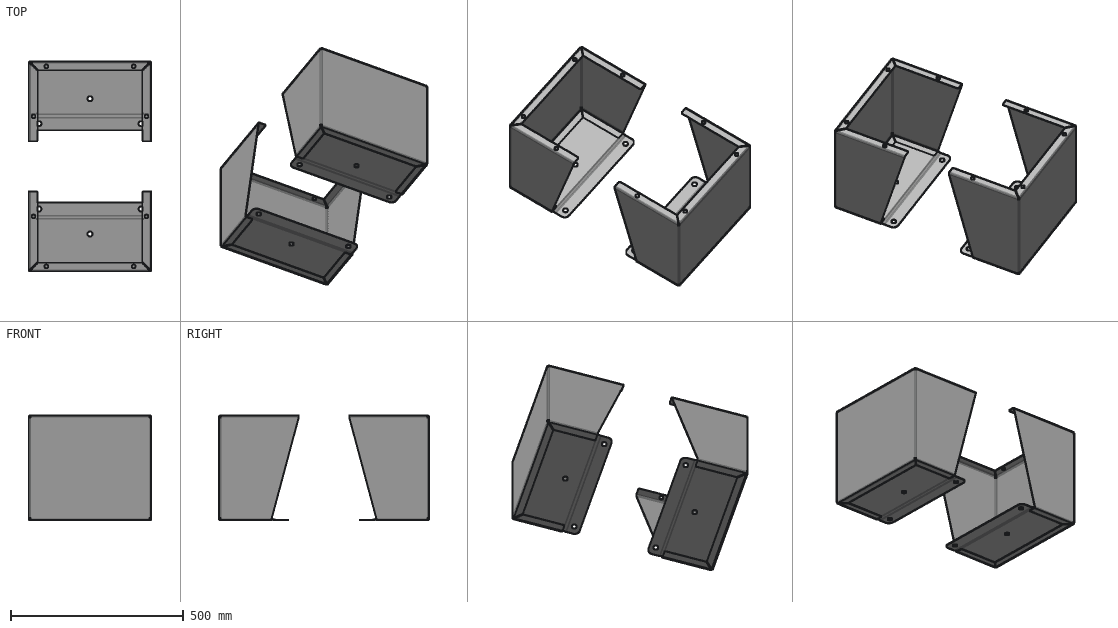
import cadquery as cq
import math

WIDTH = 355.5
TOTAL_DEPTH = 609.5
HEIGHT = 305.0

SHEET = 2.5
BEND_RADIUS = 2.25
OUTER_RADIUS = SHEET + BEND_RADIUS

FLANGE_WIDTH = 25.5
BASE_DEPTH = 153.0
SLANT_ANGLE = 15.0
SLANT_HEIGHT = HEIGHT - 2 * OUTER_RADIUS
TOP_DEPTH = BASE_DEPTH + SLANT_HEIGHT * math.tan(math.radians(SLANT_ANGLE))
FLANGE_TIP_CHAMFER = 2.5
MITRE_GAP = 2.3
MITRE_ANGLE = 45.0
RELIEF_WIDTH = OUTER_RADIUS
RELIEF_HEIGHT = 7.0

FLANGE_HOLE_DIAMETER = 11.0
FRONT_HOLE_OFFSET = 127.0
FRONT_HOLE_INSET = 14.5
SIDE_HOLE_INSET = 14.0
SIDE_HOLE_DEPTH = 160.0

PLATE_WIDTH = WIDTH - 2 * OUTER_RADIUS
PLATE_CORNER_RADIUS = 9.0
STEP_ANGLE = 15.0
STEP_LENGTH = SHEET / math.tan(math.radians(STEP_ANGLE))
PLATE_DEPTH = 200.5
TAB_CORNER_RADIUS = 15.0
PLATE_HOLE_DIAMETER = 14.0
CENTRE_HOLE_DEPTH = 108.5
TAB_HOLE_OFFSET = 148.0
TAB_HOLE_DEPTH = 181.0

FRONT_Y = -TOTAL_DEPTH / 2


def block(x0, x1, y0, y1, z0, z1):
    return cq.Workplane("XY").box(x1 - x0, y1 - y0, z1 - z0, centered=False).translate((x0, y0, z0))


def rounded_block(inset, radius):
    """Block inset from the envelope, rounded on the front, side, top and bottom bends."""
    half = WIDTH / 2 - inset
    open_end = TOP_DEPTH + FLANGE_WIDTH
    solid = block(-half, half, FRONT_Y + inset, FRONT_Y + open_end, inset, HEIGHT - inset)
    return solid.edges("not >Y").fillet(radius)


def side_profile():
    """Side silhouette of the shell, extruded across its full width."""
    return (
        cq.Workplane("YZ")
        .moveTo(FRONT_Y, 0)
        .lineTo(FRONT_Y + BASE_DEPTH, 0)
        .lineTo(FRONT_Y + BASE_DEPTH, OUTER_RADIUS)
        .lineTo(FRONT_Y + TOP_DEPTH, HEIGHT - OUTER_RADIUS)
        .lineTo(FRONT_Y + TOP_DEPTH, HEIGHT)
        .lineTo(FRONT_Y, HEIGHT)
        .close()
        .extrude(WIDTH / 2, both=True)
    )


def flange_opening():
    """Opening inside the flanges, widened at the chamfered flange tips."""
    half = WIDTH / 2 - FLANGE_WIDTH
    opening = block(-half, half, FRONT_Y + FLANGE_WIDTH, FRONT_Y + TOP_DEPTH, 0, HEIGHT)
    for z, depth in ((0, BASE_DEPTH), (HEIGHT - SHEET, TOP_DEPTH)):
        tip = FRONT_Y + depth
        chamfers = (
            cq.Workplane("XY", origin=(0, 0, z))
            .moveTo(-half - FLANGE_TIP_CHAMFER, tip)
            .lineTo(half + FLANGE_TIP_CHAMFER, tip)
            .lineTo(half, tip - FLANGE_TIP_CHAMFER)
            .lineTo(-half, tip - FLANGE_TIP_CHAMFER)
            .close()
            .extrude(SHEET)
        )
        opening = opening.union(chamfers)
    return opening


def corner_cuts():
    """Mitre gaps between the flanges, with a relief cut where three bends meet."""
    cuts = cq.Workplane("XY")
    mitre_length = 2 * math.sqrt(2) * FLANGE_WIDTH
    for side in (-1, 1):
        corner_x = side * WIDTH / 2
        for z in (0, HEIGHT - RELIEF_HEIGHT):
            mitre = (
                cq.Workplane("XY")
                .box(mitre_length, MITRE_GAP, RELIEF_HEIGHT, centered=(True, True, False))
                .rotate((0, 0, 0), (0, 0, 1), -side * MITRE_ANGLE)
                .translate((corner_x, FRONT_Y, z))
            )
            relief = (
                cq.Workplane("XY")
                .box(2 * RELIEF_WIDTH, 2 * RELIEF_WIDTH, RELIEF_HEIGHT, centered=(True, True, False))
                .translate((corner_x, FRONT_Y, z))
            )
            cuts = cuts.add(mitre).add(relief)
    return cuts.combine()


def flange_holes():
    """Holes through the top flanges."""
    side_x = WIDTH / 2 - SIDE_HOLE_INSET
    centres = []
    for side in (-1, 1):
        centres.append((side * FRONT_HOLE_OFFSET, FRONT_Y + FRONT_HOLE_INSET))
        centres.append((side * side_x, FRONT_Y + SIDE_HOLE_DEPTH))
    return (
        cq.Workplane("XY", origin=(0, 0, HEIGHT - SHEET))
        .pushPoints(centres)
        .circle(FLANGE_HOLE_DIAMETER / 2)
        .extrude(SHEET)
    )


def make_shell():
    shell = rounded_block(0, OUTER_RADIUS).cut(rounded_block(SHEET, BEND_RADIUS))
    shell = shell.intersect(side_profile()).cut(flange_opening())
    return shell.cut(corner_cuts()).cut(flange_holes())


def make_floor_plate():
    start = FRONT_Y + OUTER_RADIUS
    bend_reach = BEND_RADIUS * math.tan(math.radians(STEP_ANGLE / 2))
    step_start = FRONT_Y + BASE_DEPTH + bend_reach
    step_end = step_start + STEP_LENGTH
    end = FRONT_Y + PLATE_DEPTH
    plate = (
        cq.Workplane("YZ")
        .moveTo(start, SHEET)
        .lineTo(step_start, SHEET)
        .lineTo(step_end, 0)
        .lineTo(end, 0)
        .lineTo(end, SHEET)
        .lineTo(step_end, SHEET)
        .lineTo(step_start, 2 * SHEET)
        .lineTo(start, 2 * SHEET)
        .close()
        .extrude(PLATE_WIDTH / 2, both=True)
    )
    for y, z, radius in (
        (step_start, SHEET, BEND_RADIUS),
        (step_start, 2 * SHEET, OUTER_RADIUS),
        (step_end, 0, OUTER_RADIUS),
        (step_end, SHEET, BEND_RADIUS),
    ):
        plate = plate.edges(cq.selectors.NearestToPointSelector((0, y, z))).fillet(radius)
    plate = plate.edges("|Z and <Y").fillet(PLATE_CORNER_RADIUS)
    plate = plate.edges("|Z and >Y").fillet(TAB_CORNER_RADIUS)
    holes = (
        cq.Workplane("XY")
        .pushPoints(
            [
                (0, FRONT_Y + CENTRE_HOLE_DEPTH),
                (-TAB_HOLE_OFFSET, FRONT_Y + TAB_HOLE_DEPTH),
                (TAB_HOLE_OFFSET, FRONT_Y + TAB_HOLE_DEPTH),
            ]
        )
        .circle(PLATE_HOLE_DIAMETER / 2)
        .extrude(2 * SHEET)
    )
    return plate.cut(holes)


shell = make_shell()
floor_plate = make_floor_plate()

bodies = []
for turn in (0, 180):
    for body in (shell, floor_plate):
        bodies.append(body.rotate((0, 0, 0), (0, 0, 1), turn).val())

result = cq.Compound.makeCompound(bodies)